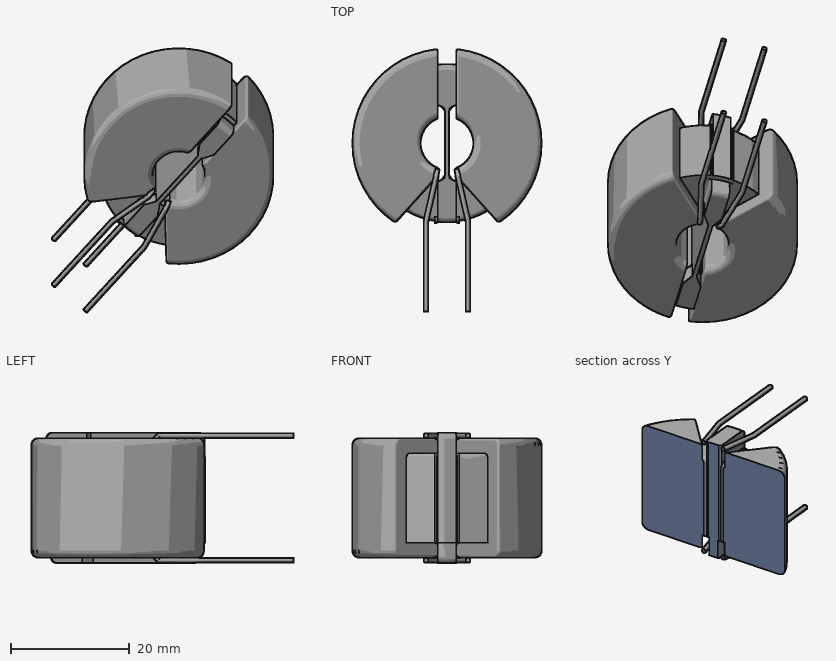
import cadquery as cq
import math

OVERALL_LENGTH = 44.3
OVERALL_HEIGHT = 22.0

PICK_MARGIN = 0.05

WINDING_RADIUS = 16.0
BORE_RADIUS = 4.45
WINDING_HALF_HEIGHT = 10.1
WINDING_ROUND = 1.25
WINDING_END_ROUND = 0.35
WEDGE_END_ROUND = 0.45
WEDGE_HALF_ANGLE = 42
WEDGE_APEX_Y = -3.75

CORE_RADIUS = 13.3
CORE_BORE_RADIUS = 6.55
CORE_HALF_HEIGHT = 7.58
CORE_ROUND = 0.9

BAR_WIDTH = 3.1
WEB_WIDTH = 0.75
DIVIDER_HALF_HEIGHT = OVERALL_HEIGHT / 2
DIVIDER_ROUND = 1.0
UPPER_END_RADIUS = 13.4
LOWER_END_RADIUS = 12.6
UPPER_TAPER = (5.85, 6.45)
LOWER_TAPER = (5.4, 7.25)
BAR_FOOT_ROUND = 0.55

LIP_WIDTH = 0.5
LIP_RIDGE_WIDTH = 0.25
LIP_REACH = 13.45
LIP_BEVEL = 0.2

LEAD_RADIUS = 0.42
LEAD_SPACING = 7.1
LEAD_BEND_Y = -13.15
LEAD_ELBOW = (1.85, -5.7)
LEAD_ROOT = (1.7, -4.5)
LEAD_ROOT_DROP = 1.1


def ring(outer_radius, inner_radius, half_height):
    outline = cq.Workplane("XY").circle(outer_radius).circle(inner_radius)
    return outline.extrude(half_height, both=True)


def make_winding():
    body = ring(WINDING_RADIUS, BORE_RADIUS, WINDING_HALF_HEIGHT)
    body = body.faces("|Z").edges().fillet(WINDING_ROUND)
    reach = 2 * WINDING_RADIUS
    slot = cq.Workplane("XY").box(BAR_WIDTH, reach, reach)
    wedge_angle = math.radians(WEDGE_HALF_ANGLE)
    wedge_half_width = reach * math.tan(wedge_angle)
    wedge = (
        cq.Workplane("XY")
        .moveTo(0, WEDGE_APEX_Y)
        .lineTo(-wedge_half_width, WEDGE_APEX_Y - reach)
        .lineTo(wedge_half_width, WEDGE_APEX_Y - reach)
        .close()
        .extrude(WINDING_RADIUS, both=True)
    )
    halves = body.cut(slot).cut(wedge)
    slot_walls = cq.selectors.BoxSelector(
        (-BAR_WIDTH, BORE_RADIUS, -PICK_MARGIN), (BAR_WIDTH, WINDING_RADIUS, PICK_MARGIN))
    halves = halves.faces(slot_walls).edges().fillet(WINDING_END_ROUND)
    for side in (-1, 1):
        normal = cq.Vector(-side * math.cos(wedge_angle), -math.sin(wedge_angle), 0)
        wall = halves.faces(cq.selectors.ParallelDirSelector(normal))
        rim = wall.edges(cq.selectors.BoxSelector(
            (-reach, -reach, -reach), (reach, -CORE_BORE_RADIUS, reach)))
        halves = rim.fillet(WEDGE_END_ROUND)
    return halves


def make_core():
    core = ring(CORE_RADIUS, CORE_BORE_RADIUS, CORE_HALF_HEIGHT)
    return core.faces(">Z").edges().fillet(CORE_ROUND)


def divider_part(end_radius, taper, height):
    """Plate rising from Z = 0, with bar ends at +Y and -Y that round over at its top."""
    taper_start, taper_end = taper
    web = WEB_WIDTH / 2
    bar = BAR_WIDTH / 2
    outline = (
        cq.Workplane("XY")
        .moveTo(web, 0)
        .lineTo(web, taper_start)
        .lineTo(bar, taper_end)
        .lineTo(bar, end_radius)
        .lineTo(0, end_radius)
        .lineTo(0, 0)
        .close()
        .extrude(height)
    )
    plate = outline.union(outline.mirror("YZ"))
    plate = plate.union(plate.mirror("XZ"))
    envelope = cq.Workplane("XY").circle(end_radius).extrude(height)
    envelope = envelope.faces(">Z").edges().fillet(DIVIDER_ROUND)
    return plate.intersect(envelope)


def make_divider():
    lower_height = DIVIDER_HALF_HEIGHT - CORE_HALF_HEIGHT
    upper_height = 2 * DIVIDER_HALF_HEIGHT - lower_height
    upper = divider_part(UPPER_END_RADIUS, UPPER_TAPER, upper_height)
    lower = divider_part(LOWER_END_RADIUS, LOWER_TAPER, lower_height).mirror("XY")
    return upper.union(lower).translate((0, 0, -CORE_HALF_HEIGHT))


def make_bobbin():
    """Core and divider; the sides of the lower bar at -Y blend into the core's underside."""
    bobbin = make_core().union(make_divider())
    half_width = BAR_WIDTH / 2
    foot = cq.selectors.BoxSelector(
        (-half_width - PICK_MARGIN, -LOWER_END_RADIUS - PICK_MARGIN, -CORE_HALF_HEIGHT - PICK_MARGIN),
        (half_width + PICK_MARGIN, -LOWER_TAPER[1], -CORE_HALF_HEIGHT + PICK_MARGIN))
    return bobbin.edges(foot).edges("|Y").fillet(BAR_FOOT_ROUND)


def make_lips():
    """Ribs with a ridge that bevels down toward the bar; their tops round over like the core's."""
    inner_side = BAR_WIDTH / 2
    outer_side = inner_side + LIP_WIDTH
    lip = (
        cq.Workplane("XY")
        .moveTo(inner_side, -CORE_RADIUS + CORE_ROUND)
        .lineTo(inner_side, -LIP_REACH + LIP_BEVEL)
        .lineTo(outer_side - LIP_RIDGE_WIDTH, -LIP_REACH)
        .lineTo(outer_side, -LIP_REACH)
        .lineTo(outer_side, -CORE_RADIUS + CORE_ROUND)
        .close()
        .extrude(CORE_HALF_HEIGHT, both=True)
    )
    lip = lip.faces(">Z").edges("<Y").fillet(CORE_ROUND)
    return lip.union(lip.mirror("YZ"))


def rod(start, end):
    axis = cq.Vector(*end) - cq.Vector(*start)
    return cq.Workplane(cq.Solid.makeCylinder(LEAD_RADIUS, axis.Length, cq.Vector(*start), axis))


def make_lead():
    axis_z = WINDING_HALF_HEIGHT + LEAD_RADIUS
    half_spacing = LEAD_SPACING / 2
    round_centre_x = BAR_WIDTH / 2 + WINDING_END_ROUND
    round_centre_y = math.sqrt((WINDING_RADIUS - WINDING_END_ROUND) ** 2 - round_centre_x ** 2)
    tip_y = round_centre_y + WINDING_END_ROUND - OVERALL_LENGTH
    path = [
        (*LEAD_ROOT, axis_z - LEAD_ROOT_DROP),
        (*LEAD_ELBOW, axis_z),
        (half_spacing, LEAD_BEND_Y, axis_z),
        (half_spacing, tip_y, axis_z),
    ]
    lead = rod(path[0], path[1])
    for start, end in zip(path[1:], path[2:]):
        lead = lead.union(rod(start, end))
        lead = lead.union(cq.Workplane("XY").sphere(LEAD_RADIUS).translate(start))
    return lead


result = make_winding().union(make_bobbin()).union(make_lips())
lead = make_lead()
lead_pair = lead.union(lead.mirror("YZ"))
result = result.union(lead_pair).union(lead_pair.mirror("XY"))